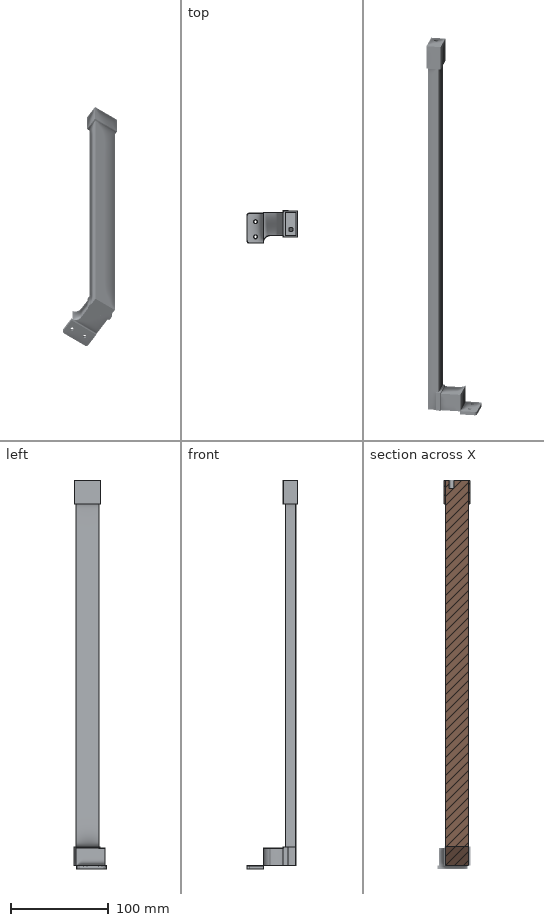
import cadquery as cq
import math

total_height = 397.0
rail_left = 39.5
rail_right = 50.0
rail_front = 7.5
rail_back = 31.5

sleeve_left = 37.0
sleeve_right = 51.5
sleeve_front = 6.0
sleeve_back = 33.0
sleeve_height = 24.2

pivot_x = 45.0
pivot_y = 14.0
pivot_diameter = 4.5
pivot_depth = 8.0

fitting_bottom = 3.5
fitting_top = 22.5
collar_left = 37.0
collar_right = 41.5
collar_front = 6.7
collar_back = 33.5

arm_left = 16.5
arm_top = 21.5
flare_radius = 7.0
flare_front = 1.5
flange_thickness = fitting_bottom
flange_right = 17.0
flange_back = 30.5
flange_corner_radius = 2.5
screw_x = 8.7
screw_front_y = 6.5
screw_spacing = 15.5
screw_diameter = 3.5


def box_between(left, right, front, back, bottom, top):
    """Return a box that spans the given limits along X, Y and Z."""
    size = (right - left, back - front, top - bottom)
    return cq.Workplane("XY").box(*size, centered=False).translate((left, front, bottom))


def make_rail():
    """Return the long bar with the pivot hole in its upper end."""
    rail = box_between(rail_left, rail_right, rail_front, rail_back, fitting_top, total_height)
    pivot = (
        cq.Workplane("XY", origin=(pivot_x, pivot_y, total_height))
        .circle(pivot_diameter / 2)
        .extrude(-pivot_depth)
    )
    return rail.cut(pivot)


def make_sleeve():
    """Return the sleeve that fits around the top of the rail."""
    bottom = total_height - sleeve_height
    outside = box_between(sleeve_left, sleeve_right, sleeve_front, sleeve_back, bottom, total_height)
    opening = box_between(rail_left, rail_right, rail_front, rail_back, bottom, total_height)
    return outside.cut(opening)


def make_fitting():
    """Return the block that carries the rail, with a wider collar on its -X side."""
    block = box_between(collar_left, rail_right, rail_front, rail_back, fitting_bottom, fitting_top)
    collar = box_between(
        collar_left, collar_right, collar_front, collar_back, fitting_bottom, fitting_top
    )
    return block.union(collar)


def make_arm():
    """Return the arm, whose front side curves outward to its -X end."""
    flare_rise = rail_front - flare_front
    flare_run = math.sqrt(flare_radius**2 - (flare_radius - flare_rise) ** 2)
    flare_end = arm_left + flare_run
    half_angle = math.atan2(flare_run, flare_radius - flare_rise) / 2
    arc_middle = (
        flare_end - flare_radius * math.sin(half_angle),
        rail_front - flare_radius * (1 - math.cos(half_angle)),
    )
    return (
        cq.Workplane("XY", origin=(0, 0, fitting_bottom))
        .moveTo(arm_left, flare_front)
        .threePointArc(arc_middle, (flare_end, rail_front))
        .lineTo(collar_left, rail_front)
        .lineTo(collar_left, rail_back)
        .lineTo(arm_left, rail_back)
        .close()
        .extrude(arm_top - fitting_bottom)
    )


def make_flange():
    """Return the foot plate with two rounded corners and two screw holes."""
    plate = box_between(0, flange_right, 0, flange_back, 0, flange_thickness)
    plate = plate.edges("|Z and <X").fillet(flange_corner_radius)
    for index in range(2):
        hole = (
            cq.Workplane("XY")
            .center(screw_x, screw_front_y + index * screw_spacing)
            .circle(screw_diameter / 2)
            .extrude(flange_thickness)
        )
        plate = plate.cut(hole)
    return plate


rail = make_rail()
sleeve = make_sleeve()
fitting = make_fitting()
bracket = make_arm().union(make_flange())

result = cq.Compound.makeCompound([rail.val(), sleeve.val(), fitting.val(), bracket.val()])